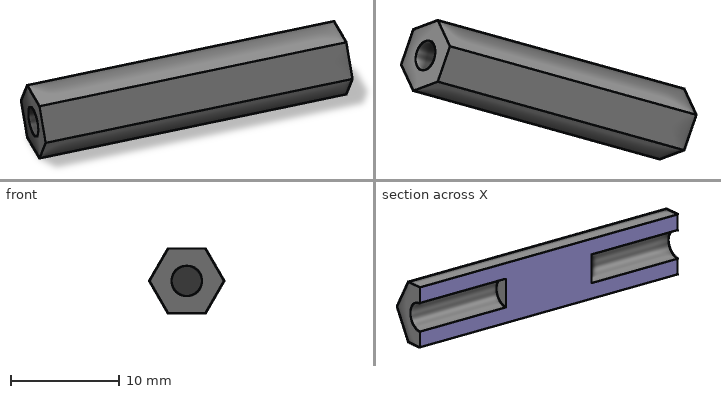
import cadquery as cq
import math

LENGTH = 30.0
ACROSS_FLATS = 6.0
HOLE_DIAMETER = 2.8
HOLE_DEPTH = 10.0

HEX_SIDES = 6
ACROSS_CORNERS = ACROSS_FLATS / math.cos(math.pi / HEX_SIDES)


def hex_body():
    """Hexagonal bar centred on the origin, flats up and down, corners on X."""
    return (
        cq.Workplane("XZ")
        .polygon(HEX_SIDES, ACROSS_CORNERS)
        .extrude(LENGTH / 2, both=True)
    )


def drill_end(body, end_face):
    """Cut a flat-bottomed blind hole into the middle of one end face."""
    return (
        body.faces(end_face)
        .workplane(centerOption="CenterOfBoundBox")
        .hole(HOLE_DIAMETER, HOLE_DEPTH)
    )


result = hex_body()
for end in ("<Y", ">Y"):
    result = drill_end(result, end)